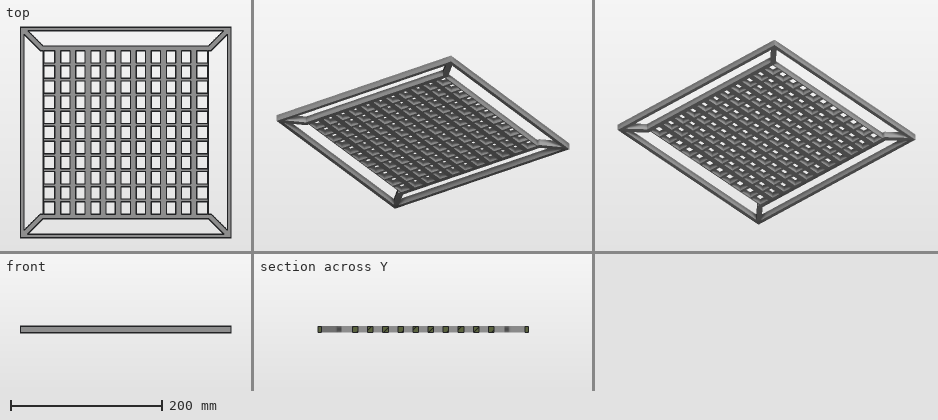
import cadquery as cq

outer_size = 279.0
thickness = 9.0
frame_width = 5.0

lattice_size = 216.0
side_rim_width = 1.5
end_band_width = 6.5
pitch = 20.0
bar_count = 10
bar_width = 8.0
rib_width = 4.0

arm_half_span = 5.0

half_outer = outer_size / 2
half_lattice = lattice_size / 2
grate_size_x = lattice_size + 2 * side_rim_width
grate_size_y = lattice_size + 2 * end_band_width
band_outer_y = grate_size_y / 2


def block(size_x, size_y, center_x=0.0, center_y=0.0):
    """Full-thickness rectangular block standing on Z = 0."""
    base = cq.Workplane("XY").center(center_x, center_y)
    return base.rect(size_x, size_y).extrude(thickness)


def make_frame():
    inner_size = outer_size - 2 * frame_width
    return block(outer_size, outer_size).cut(block(inner_size, inner_size))


def make_grate():
    """Rimmed lattice: wide bars along Y crossed by narrow ribs along X."""
    grate = block(grate_size_x, grate_size_y)
    grate = grate.cut(block(lattice_size, lattice_size))
    for index in range(bar_count):
        offset = (index - (bar_count - 1) / 2) * pitch
        grate = grate.union(block(bar_width, lattice_size, offset, 0))
        grate = grate.union(block(lattice_size, rib_width, 0, offset))
    return grate


def make_arm(sign_x, sign_y):
    """45-degree arm from a frame corner, ending flush with the inner edge of the end band."""
    outline = [
        (half_outer, half_outer),
        (half_outer - arm_half_span, half_outer),
        (band_outer_y - arm_half_span, band_outer_y),
        (band_outer_y - arm_half_span, half_lattice),
        (half_lattice + arm_half_span, half_lattice),
        (half_outer, half_outer - arm_half_span),
    ]
    points = [(sign_x * x, sign_y * y) for x, y in outline]
    return cq.Workplane("XY").polyline(points).close().extrude(thickness)


result = make_frame().union(make_grate())
for sign_x in (-1, 1):
    for sign_y in (-1, 1):
        result = result.union(make_arm(sign_x, sign_y))